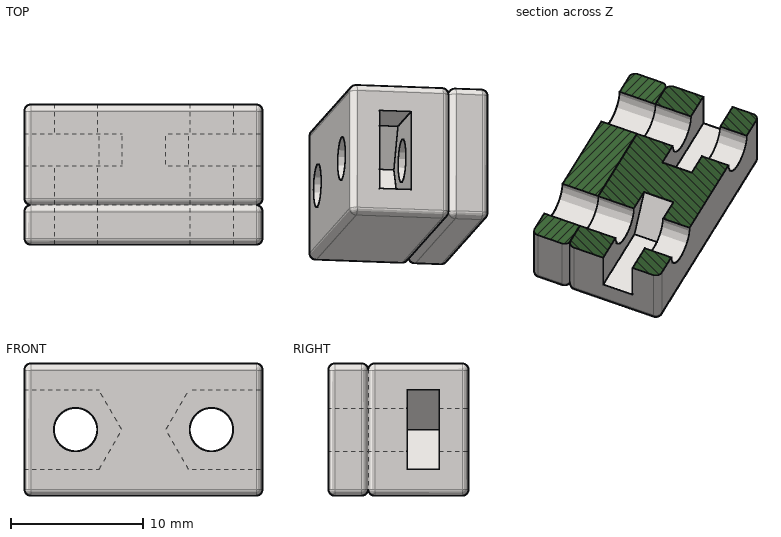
import cadquery as cq
import math

length = 18.0
height = 10.0
depth = 10.6
plate_depth = 3.0
housing_depth = depth - plate_depth
edge_radius = 0.5

hole_diameter = 3.25
hole_spacing = 10.26

nut_width = 6.01
nut_thickness = 2.41
pocket_back_wall = 2.23

joint_y = plate_depth
pocket_rear_y = depth - pocket_back_wall
hole_x = hole_spacing / 2
end_x = length / 2


def make_rounded_block(front_y, block_depth):
    """Full-length block with every edge rounded, starting at front_y."""
    return (
        cq.Workplane("XY")
        .box(length, block_depth, height)
        .edges()
        .fillet(edge_radius)
        .translate((0, front_y + block_depth / 2, 0))
    )


def make_screw_holes():
    """Two cylinders along Y, long enough to pass through both bodies."""
    return (
        cq.Workplane("XZ")
        .pushPoints([(-hole_x, 0), (hole_x, 0)])
        .circle(hole_diameter / 2)
        .extrude(-depth)
    )


def make_nut_pocket(side):
    """Slot from one end (side is -1 or 1), closed by half a hexagon around the screw axis."""
    half_width = nut_width / 2
    corner_radius = nut_width / math.sqrt(3)
    flat_end_x = hole_x - corner_radius / 2
    tip_x = hole_x - corner_radius
    return (
        cq.Workplane("XZ", origin=(0, pocket_rear_y, 0))
        .polyline([
            (side * end_x, -half_width),
            (side * flat_end_x, -half_width),
            (side * tip_x, 0),
            (side * flat_end_x, half_width),
            (side * end_x, half_width),
        ])
        .close()
        .extrude(nut_thickness)
    )


screw_holes = make_screw_holes()

plate = make_rounded_block(0, plate_depth).cut(screw_holes)

housing = make_rounded_block(joint_y, housing_depth).cut(screw_holes)
for side in (-1, 1):
    housing = housing.cut(make_nut_pocket(side))

result = cq.Compound.makeCompound([plate.val(), housing.val()])